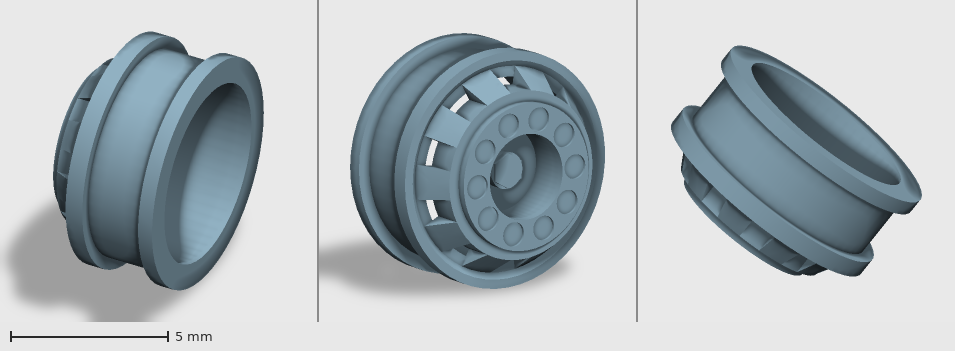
import cadquery as cq
import math

hub_plate_start = 0.3
rim_start = 1.2
barrel_start = 1.8
barrel_end = 3.8
rim_end = 4.3

flange_diameter = 7.7
barrel_diameter = 6.9
rim_bore_diameter = 6.0
mouth_diameter = 7.1
seat_diameter = 6.7
seat_depth = 0.15
seat_x = rim_start + seat_depth

cap_diameter = 4.8
hub_diameter = 5.5
hub_end = seat_x
hub_bore_diameter = 2.8
hub_bore_depth = 1.5
boss_diameter = 3.0
boss_end = 2.0

screw_diameter = 1.2
hex_x = 1.0
hex_height = 0.1
screw_x = hex_x + hex_height
hex_across_flats = 1.0

bolt_count = 10
bolt_diameter = 0.8
bolt_circle_diameter = 3.75
bolt_depth = 0.1
first_bolt_angle = -3.0

spoke_count = 10
spoke_half_angle = 9.8


def cylinder(diameter, start, end):
    """Cylinder on the X axis between two axial positions."""
    return cq.Workplane("YZ").workplane(offset=start).circle(diameter / 2).extrude(end - start)


def revolve_profile(points):
    """Solid of revolution about X from (x, radius) points."""
    return cq.Workplane("XY").polyline(points).close().revolve(360, (0, 0, 0), (1, 0, 0))


def make_rim():
    """Flanged barrel with a conical mouth leading to the spoke seat."""
    rim = cylinder(flange_diameter, rim_start, barrel_start)
    rim = rim.union(cylinder(barrel_diameter, barrel_start, barrel_end))
    rim = rim.union(cylinder(flange_diameter, barrel_end, rim_end))
    mouth = revolve_profile(
        [
            (rim_start, 0),
            (rim_start, mouth_diameter / 2),
            (seat_x, seat_diameter / 2),
            (seat_x, 0),
        ]
    )
    return rim.cut(mouth).cut(cylinder(rim_bore_diameter, rim_start, rim_end))


def make_spokes():
    """Wedges of a cone that widens from the hub plate to the seat."""
    cone = revolve_profile(
        [
            (hub_plate_start, 0),
            (hub_plate_start, hub_diameter / 2),
            (seat_x, seat_diameter / 2),
            (seat_x, 0),
        ]
    )
    reach = flange_diameter
    half_width = reach * math.tan(math.radians(spoke_half_angle))
    wedge = (
        cq.Workplane("YZ")
        .polyline([(0, 0), (reach, -half_width), (reach, half_width)])
        .close()
        .extrude(rim_end)
    )
    wedge = wedge.intersect(cone)
    spokes = cq.Workplane("YZ")
    for index in range(spoke_count):
        spokes = spokes.union(wedge.rotate((0, 0, 0), (1, 0, 0), index * 360 / spoke_count))
    return spokes


def make_hub():
    """Stepped hub: cap, plate and rear boss."""
    hub = cylinder(cap_diameter, 0, hub_plate_start)
    hub = hub.union(cylinder(hub_diameter, hub_plate_start, hub_end))
    return hub.union(cylinder(boss_diameter, hub_end, boss_end))


def cut_hub(body):
    """Cut the blind hub bore and the ring of shallow bolt pockets."""
    body = body.cut(cylinder(hub_bore_diameter, 0, hub_bore_depth))
    bolts = (
        cq.Workplane("YZ")
        .polarArray(bolt_circle_diameter / 2, first_bolt_angle, 360, bolt_count)
        .circle(bolt_diameter / 2)
        .extrude(bolt_depth)
    )
    return body.cut(bolts)


def make_screw():
    """Round screw shank topped by a hexagonal head."""
    screw = cylinder(screw_diameter, screw_x, hub_bore_depth)
    head = (
        cq.Workplane("YZ")
        .workplane(offset=hex_x)
        .polygon(6, hex_across_flats, circumscribed=True)
        .extrude(screw_x - hex_x)
    )
    return screw.union(head)


result = cut_hub(make_hub().union(make_spokes())).union(make_rim()).union(make_screw())